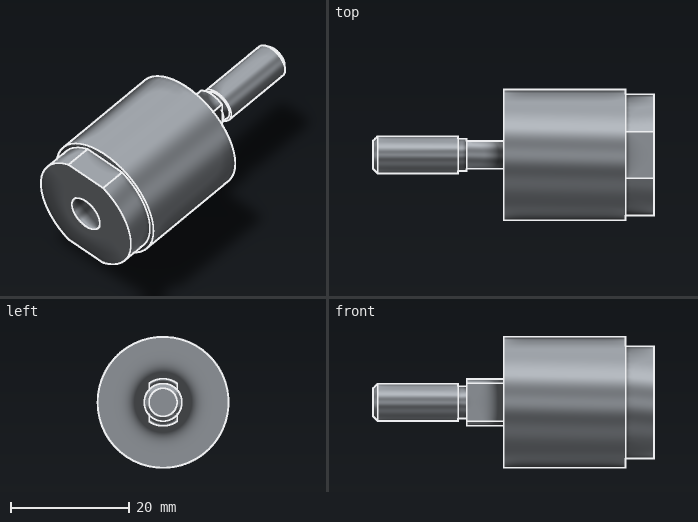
import cadquery as cq

total_length = 47.6
stud_length = 14.45
neck_length = 1.45
shank_length = 6.3
body_length = 20.65
collar_length = total_length - stud_length - neck_length - shank_length - body_length

stud_diameter = 6.4
neck_diameter = 5.52
shank_diameter = 8.0
body_diameter = 22.25
collar_diameter = 20.6

bore_diameter = stud_diameter
bore_depth = stud_length

tip_chamfer = 0.8
shank_across_flats = 4.75
collar_across_flats = 19.05


def cylinder(start, length, diameter):
    """Cylinder on the X axis, beginning at x = start."""
    return cq.Workplane("YZ", origin=(start, 0, 0)).circle(diameter / 2).extrude(length)


def flat_limits(start, length, width_y, width_z):
    """Box centred on the X axis that trims a cylinder to its flats."""
    return cq.Workplane("YZ", origin=(start, 0, 0)).rect(width_y, width_z).extrude(length)


neck_start = stud_length
shank_start = neck_start + neck_length
body_start = shank_start + shank_length
collar_start = body_start + body_length

stud = cylinder(0, stud_length, stud_diameter).faces("<X").chamfer(tip_chamfer)
neck = cylinder(neck_start, neck_length, neck_diameter)

shank = cylinder(shank_start, shank_length, shank_diameter).intersect(
    flat_limits(shank_start, shank_length, shank_across_flats, shank_diameter)
)

body = cylinder(body_start, body_length, body_diameter)

collar = cylinder(collar_start, collar_length, collar_diameter).intersect(
    flat_limits(collar_start, collar_length, collar_diameter, collar_across_flats)
)

bore = cylinder(total_length - bore_depth, bore_depth, bore_diameter)

result = stud.union(neck).union(shank).union(body).union(collar).cut(bore)